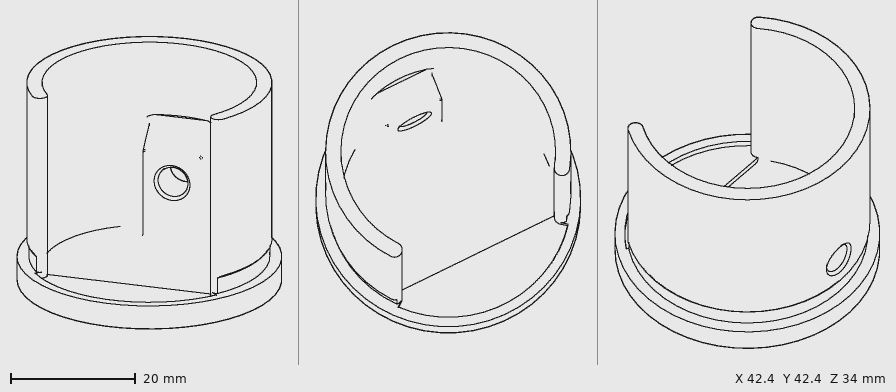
import cadquery as cq
import math

height = 34.0
flange_radius = 21.2
flange_height = 4.0
floor_depth = 1.0
recess_z = flange_height - floor_depth
floor_z = recess_z - floor_depth
edge_round = 0.5

wall_outer_radius = 19.65
wall_inner_radius = 17.17
wall_mid_radius = (wall_outer_radius + wall_inner_radius) / 2
cap_radius = (wall_outer_radius - wall_inner_radius) / 2
wall_end_angle = 35.4
recess_end_angle = 39.2

groove_radius = 19.3
groove_height = 2.65
groove_chamfer = wall_outer_radius - groove_radius

block_width = 10.1
block_front_y = 11.9
block_slope_end_y = 16.58
block_top_z = 21.55
block_front_z = block_top_z - (block_slope_end_y - block_front_y)

hole_radius = 2.5
hole_z = 12.05
rim_chamfer = 0.5

margin = 0.05


def polar(radius, angle):
    """Point at an angle in degrees from +X."""
    turn = math.radians(angle)
    return (radius * math.cos(turn), radius * math.sin(turn))


step_y = polar(wall_inner_radius, -wall_end_angle)[1]


def box_zone(high, low):
    """Selector for edges lying wholly between two opposite corners, with a little slack."""
    return cq.selectors.BoxSelector(
        tuple(value - margin for value in low),
        tuple(value + margin for value in high),
        boundingbox=True,
    )


def disc(radius, bottom, top):
    return cq.Workplane("XY").workplane(offset=bottom).circle(radius).extrude(top - bottom)


def front_sector(end_angle, bottom, top):
    """Wedge open toward -Y, bounded by planes through the axis."""
    reach = 2 * flange_radius
    right = polar(reach, -end_angle)
    left = polar(reach, end_angle - 180)
    outline = cq.Workplane("XY").workplane(offset=bottom).moveTo(0, 0).lineTo(*right)
    return outline.lineTo(0, -2 * reach).lineTo(*left).close().extrude(top - bottom)


def make_wall_ends():
    """Full-round ends of the wall, standing on the recess floor."""
    ends = cq.Workplane("XY")
    for angle in (-wall_end_angle, wall_end_angle - 180):
        ends = ends.add(disc(cap_radius, recess_z, height).translate((*polar(wall_mid_radius, angle), 0)))
    return ends.combine()


def make_groove():
    top = flange_height + groove_height
    return (
        cq.Workplane("XZ")
        .moveTo(groove_radius, flange_height)
        .lineTo(groove_radius, top)
        .lineTo(wall_outer_radius, top + groove_chamfer)
        .lineTo(flange_radius, top + groove_chamfer)
        .lineTo(flange_radius, flange_height)
        .close()
        .revolve(360, (0, 0), (0, 1))
    )


def make_cup():
    """Full ring on a closed floor; the front is opened later."""
    return disc(wall_outer_radius, 0, height).cut(disc(wall_inner_radius, floor_z, height))


def make_front_floor():
    """Raised floor of the front opening, filling the cup in front of the step."""
    front = cq.Workplane("XY").box(
        2 * flange_radius, flange_radius + step_y, recess_z, centered=(True, False, False)
    )
    return disc(wall_inner_radius, 0, recess_z).intersect(front.translate((0, -flange_radius, 0)))


def make_flange():
    """Flange ring, with the floor recess cut into it across the front opening."""
    flange = disc(flange_radius, 0, flange_height).cut(disc(wall_mid_radius, 0, flange_height))
    opening = front_sector(recess_end_angle, recess_z, flange_height)
    return flange.cut(disc(wall_outer_radius, recess_z, flange_height).intersect(opening))


def make_block():
    block = (
        cq.Workplane("YZ")
        .moveTo(block_front_y, floor_z)
        .lineTo(block_front_y, block_front_z)
        .lineTo(block_slope_end_y, block_top_z)
        .lineTo(wall_mid_radius, block_top_z)
        .lineTo(wall_mid_radius, floor_z)
        .close()
        .extrude(block_width / 2, both=True)
    )
    front_edges = block.faces("<Y").edges("|Z or >Z").vals()
    return block.newObject(front_edges).fillet(edge_round)


def round_inner_corners(body):
    """Round the block's joints to the wall, its slope's sides, and the floor edge around both."""
    half_width = block_width / 2
    joint_y = math.sqrt(wall_inner_radius**2 - half_width**2)
    slope_zone = box_zone(
        (half_width, joint_y, block_top_z), (-half_width, block_front_y, block_front_z)
    )
    joint_zone = box_zone((half_width, joint_y, block_top_z), (-half_width, joint_y, floor_z))
    floor_zone = box_zone(
        (wall_inner_radius, wall_inner_radius, floor_z), (-wall_inner_radius, -wall_inner_radius, floor_z)
    )
    joints = body.edges(joint_zone).edges("|Z").vals()
    floor_edges = body.edges(floor_zone).vals()
    body = body.newObject(joints + floor_edges).fillet(edge_round)
    return body.edges(slope_zone).edges("%LINE").edges("not(|X or |Z)").fillet(edge_round)


def drill_hole(body):
    """Drill through block and wall, chamfering the rim at both ends."""
    hole = cq.Workplane("XZ").center(0, hole_z).circle(hole_radius).extrude(-flange_radius)
    drilled = body.cut(hole)
    reach = hole_radius + rim_chamfer
    rim_zone = box_zone((reach, flange_radius, hole_z + reach), (-reach, 0, hole_z - reach))
    rims = drilled.edges(rim_zone).edges("not %LINE").vals()
    return drilled.newObject(rims).chamfer(rim_chamfer)


cup = round_inner_corners(make_cup().union(make_block()))
wall = cup.union(make_front_floor()).cut(front_sector(wall_end_angle, recess_z, height))
body = wall.union(make_wall_ends()).union(make_flange()).cut(make_groove())
result = drill_hole(body)